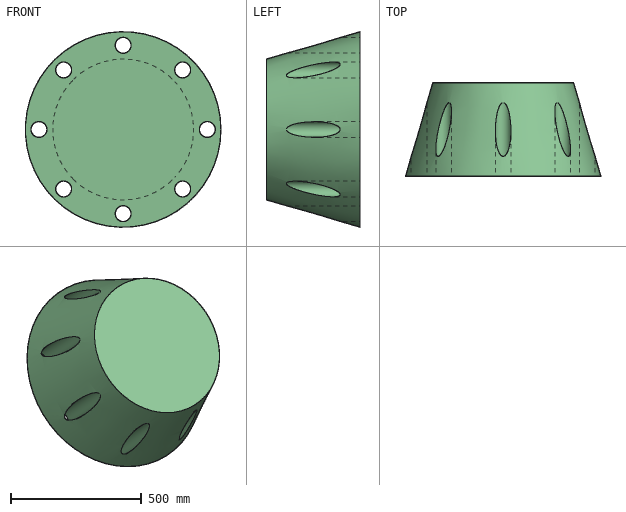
import cadquery as cq

large_diameter = 750.0
small_diameter = 540.0
length = 360.0

hole_count = 8
hole_diameter = 60.0
hole_circle_diameter = (large_diameter + small_diameter) / 2


def tapered_body():
    """Solid truncated cone, made by revolving its half profile about Y."""
    return (
        cq.Workplane("XY")
        .polyline([
            (0, 0),
            (large_diameter / 2, 0),
            (small_diameter / 2, length),
            (0, length),
        ])
        .close()
        .revolve(360, (0, 0, 0), (0, 1, 0))
    )


def hole_cutters():
    """Ring of full-length cylinders starting at the large face."""
    return (
        cq.Workplane("XZ")
        .polarArray(hole_circle_diameter / 2, 0, 360, hole_count)
        .circle(hole_diameter / 2)
        .extrude(-length)
    )


result = tapered_body().cut(hole_cutters())